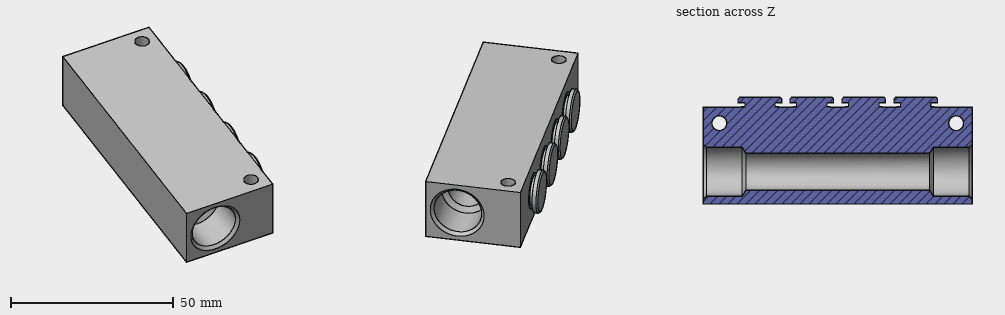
import cadquery as cq
import math

length = 83.0
depth = 30.0
height = 20.0

bore_diameter = 11.4
port_diameter = 15.0
port_mouth_diameter = 17.0
port_depth = 12.0
port_tip_angle = 118.0
bore_y = height / 2
bore_z = height / 2

mount_diameter = 4.5
mount_inset = 5.0

fitting_count = 4
fitting_pitch = 16.0
fitting_height = 3.1
collar_diameter = bore_diameter
collar_height = 0.2
neck_diameter = 9.5
neck_height = 1.3
flange_diameter = 13.5
rim_chamfer = 0.5


def make_port():
    """Cutter for a chamfered, drilled port, entering at X = 0 and pointing along +X."""
    bore_radius = bore_diameter / 2
    port_radius = port_diameter / 2
    mouth_radius = port_mouth_diameter / 2
    mouth_depth = mouth_radius - port_radius
    tip_length = (port_radius - bore_radius) / math.tan(math.radians(port_tip_angle / 2))
    return (
        cq.Workplane("XY")
        .polyline([
            (0, 0),
            (0, mouth_radius),
            (mouth_depth, port_radius),
            (port_depth, port_radius),
            (port_depth + tip_length, bore_radius),
            (port_depth + tip_length, 0),
        ])
        .close()
        .revolve(360, (0, 0, 0), (1, 0, 0))
        .translate((0, bore_y, bore_z))
    )


def make_fitting(x):
    """Collar, neck and chamfered flange standing on the back face at the given X."""
    collar = cq.Workplane("XY").circle(collar_diameter / 2).extrude(collar_height)
    neck = cq.Workplane("XY").circle(neck_diameter / 2).extrude(neck_height)
    flange = (
        cq.Workplane("XY", origin=(0, 0, neck_height))
        .circle(flange_diameter / 2)
        .extrude(fitting_height - neck_height)
        .faces(">Z")
        .chamfer(rim_chamfer)
    )
    return (
        collar.union(neck)
        .union(flange)
        .rotate((0, 0, 0), (1, 0, 0), -90)
        .translate((x, depth, height / 2))
    )


block = cq.Workplane("XY").box(length, depth, height, centered=False)

bore = (
    cq.Workplane("YZ")
    .center(bore_y, bore_z)
    .circle(bore_diameter / 2)
    .extrude(length)
)
left_port = make_port()
right_port = left_port.mirror("YZ", (length / 2, 0, 0))
result = block.cut(bore).cut(left_port).cut(right_port)

mount_holes = (
    cq.Workplane("XY")
    .pushPoints([(x, depth - mount_inset) for x in (mount_inset, length - mount_inset)])
    .circle(mount_diameter / 2)
    .extrude(height)
)
result = result.cut(mount_holes)

first_fitting_x = (length - (fitting_count - 1) * fitting_pitch) / 2
for index in range(fitting_count):
    result = result.union(make_fitting(first_fitting_x + index * fitting_pitch))